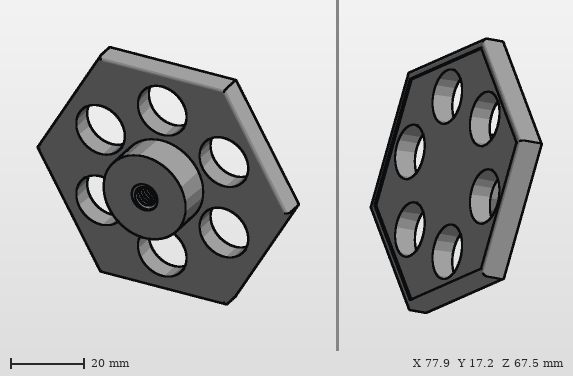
import cadquery as cq
import math

ACROSS_FLATS = 67.5
ACROSS_CORNERS = ACROSS_FLATS / math.cos(math.pi / 6)
PLATE_THICKNESS = 7.0
RIM_RADIUS = 1.2

HOLE_COUNT = 6
HOLE_DIAMETER = 15.0
HOLE_RING_RADIUS = 22.0
FIRST_HOLE_ANGLE = 30

RECESS_DEPTH = 0.6
LIP_WIDTH = 2.4
RECESS_ACROSS_CORNERS = (ACROSS_FLATS - 2 * LIP_WIDTH) / math.cos(math.pi / 6)

BOSS_DIAMETER = 25.4
BOSS_HEIGHT = 10.16

THREAD_MAJOR_DIAMETER = 7.94
THREAD_MINOR_DIAMETER = 5.84
THREAD_PITCH = 25.4 / 18
THREAD_DEPTH = (THREAD_MAJOR_DIAMETER - THREAD_MINOR_DIAMETER) / 2
FLANK_ANGLE = 30
RIDGE_CREST = THREAD_PITCH / 8
RIDGE_BASE = RIDGE_CREST + 2 * THREAD_DEPTH * math.tan(math.radians(FLANK_ANGLE))
CREST_END_ANGLE = 160
BORE_DEPTH = BOSS_HEIGHT


def make_plate():
    """Hexagon from y = 0 to y = PLATE_THICKNESS with rounded rims, holes and a recessed back."""
    plate = cq.Workplane("XZ").polygon(6, ACROSS_CORNERS).extrude(-PLATE_THICKNESS)
    plate = plate.faces("<Y or >Y").edges().fillet(RIM_RADIUS)
    holes = (
        cq.Workplane("XZ")
        .polarArray(HOLE_RING_RADIUS, FIRST_HOLE_ANGLE, 360, HOLE_COUNT)
        .circle(HOLE_DIAMETER / 2)
        .extrude(-PLATE_THICKNESS)
    )
    back_face = cq.Workplane("XZ", origin=(0, PLATE_THICKNESS, 0))
    recess = back_face.polygon(6, RECESS_ACROSS_CORNERS).extrude(RECESS_DEPTH)
    return plate.cut(holes).cut(recess)


def make_bore():
    """Blind bore space, from the open end of the boss inwards."""
    open_end = cq.Workplane("XZ", origin=(0, -BOSS_HEIGHT, 0))
    return open_end.circle(THREAD_MAJOR_DIAMETER / 2).extrude(-BORE_DEPTH)


def make_knob():
    """Plate and boss in one piece, with the bore for the thread."""
    boss = cq.Workplane("XZ").circle(BOSS_DIAMETER / 2).extrude(BOSS_HEIGHT)
    return make_plate().union(boss).cut(make_bore())


def make_thread():
    """Right-hand helical ridge in the bore, cut flush with the boss face and the bore floor."""
    minor_radius = THREAD_MINOR_DIAMETER / 2
    major_radius = THREAD_MAJOR_DIAMETER / 2
    turns_in_bore = math.ceil(BORE_DEPTH / THREAD_PITCH)
    helix_length = (turns_in_bore + 2) * THREAD_PITCH
    helix = cq.Wire.makeHelix(THREAD_PITCH, helix_length, major_radius)
    ridge = (
        cq.Workplane("XZ")
        .moveTo(minor_radius, -RIDGE_CREST / 2)
        .lineTo(major_radius, -RIDGE_BASE / 2)
        .lineTo(major_radius, RIDGE_BASE / 2)
        .lineTo(minor_radius, RIDGE_CREST / 2)
        .close()
        .sweep(cq.Workplane(obj=helix), isFrenet=True)
    )
    ridge = ridge.rotate((0, 0, 0), (0, 0, 1), CREST_END_ANGLE)
    ridge = ridge.rotate((0, 0, 0), (1, 0, 0), 90)
    ridge = ridge.translate((0, (turns_in_bore + 1) * THREAD_PITCH - BOSS_HEIGHT, 0))
    trimmer = cq.Workplane("XY").box(BOSS_DIAMETER, BORE_DEPTH, BOSS_DIAMETER)
    trimmer = trimmer.translate((0, BORE_DEPTH / 2 - BOSS_HEIGHT, 0))
    return ridge.intersect(trimmer)


knob = make_knob()
thread = make_thread()
result = cq.Compound.makeCompound([knob.val(), *thread.vals()])